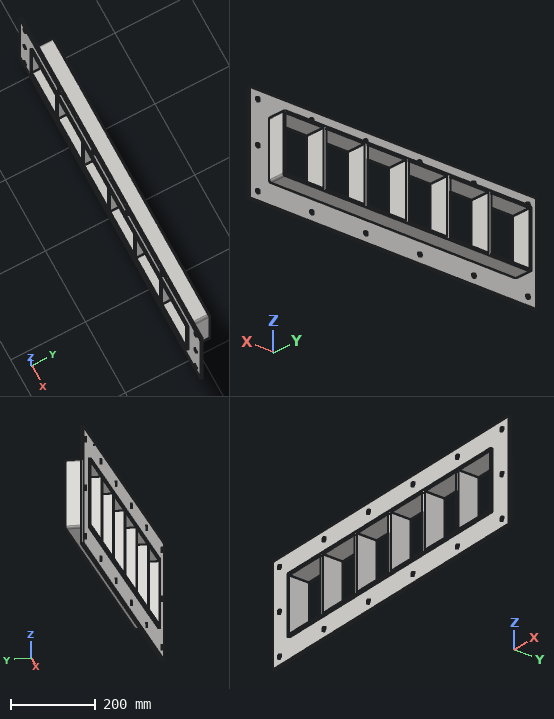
import cadquery as cq

flange_margin = 60.0
flange_thickness = 6.0

opening_count = 6
opening_width = 120.5
opening_height = 159.5
divider_thickness = 10.0
wall_thickness = 6.0
frame_depth = 60.0
frame_corner_radius = 6.0
front_projection = 3.0

bolt_hole_diameter = 10.5
bolt_edge_distance = 25.0
bolt_columns = 6
bolt_rows = 3

opening_pitch = opening_width + divider_thickness
frame_length = opening_count * opening_pitch - divider_thickness + 2 * wall_thickness
frame_height = opening_height + 2 * wall_thickness
flange_length = frame_length + 2 * flange_margin
flange_height = frame_height + 2 * flange_margin
bolt_pitch_x = (flange_length - 2 * bolt_edge_distance) / (bolt_columns - 1)
bolt_pitch_z = (flange_height - 2 * bolt_edge_distance) / (bolt_rows - 1)


def block(length, depth, height, front_y):
    """Box centred on X and Z whose front face lies at front_y."""
    box = cq.Workplane("XY").box(length, depth, height, centered=(True, False, True))
    return box.translate((0, front_y, 0))


def bolt_positions():
    """Bolt hole centres (x, z) along the four sides of the flange."""
    positions = []
    for column in range(bolt_columns):
        for row in range(bolt_rows):
            on_end_column = column in (0, bolt_columns - 1)
            on_end_row = row in (0, bolt_rows - 1)
            if on_end_column or on_end_row:
                x = (column - (bolt_columns - 1) / 2) * bolt_pitch_x
                z = (row - (bolt_rows - 1) / 2) * bolt_pitch_z
                positions.append((x, z))
    return positions


def make_flange():
    """Flange plate with its front face at Y = 0 and its bolt holes drilled through."""
    plate = block(flange_length, flange_thickness, flange_height, 0)
    holes = (
        cq.Workplane("XZ")
        .pushPoints(bolt_positions())
        .circle(bolt_hole_diameter / 2)
        .extrude(-flange_thickness)
    )
    return plate.cut(holes)


def make_sleeve():
    """Solid envelope of the frame with rounded outer corners."""
    envelope = block(frame_length, frame_depth, frame_height, -front_projection)
    return envelope.edges("|Y").fillet(frame_corner_radius)


def make_openings():
    """Row of square-cornered openings running through the full frame depth."""
    return (
        cq.Workplane("XZ", origin=(0, -front_projection, 0))
        .rarray(opening_pitch, 1, opening_count, 1)
        .rect(opening_width, opening_height)
        .extrude(-frame_depth)
    )


result = make_flange().union(make_sleeve()).cut(make_openings())